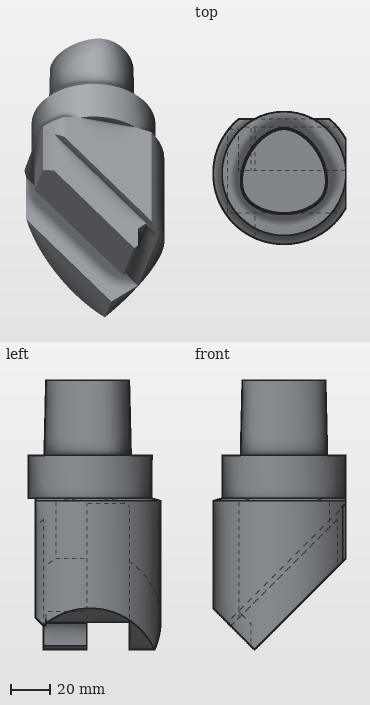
import cadquery as cq
import math

SHANK_HEIGHT = 38.2
SHANK_STRAIGHT = 2.9
SHANK_BASE_RADIUS = 22.0
SHANK_TOP_RADIUS = 21.2
SHANK_LOBE = 1.2
OUTLINE_POINTS = 36

COLLAR_RADIUS = 31.5
COLLAR_HEIGHT = 21.8
BODY_RADIUS = 36.0
SHOULDER_DROP = 1.4
SIDE_FLAT_X = COLLAR_RADIUS
BACK_FLAT_Y = 27.8

TIP_X = -15.0
TIP_Z = SHANK_HEIGHT - 137
SLOT_DEPTH = 19.7
SLOT_FRONT_Y = -20.0
SLOT_BACK_Y = 22.6
TOOTH_FRONT_Y = 1.6
TOOTH_BACK_Y = 23.7
STEP_DEPTH = 17.3
TOOTH_LAND = 2.7
TOOTH_REACH = 8.1
REACH = 137.0
CLEARANCE = 1.4


def prism_from_tip(outline, front_y, back_y):
    """Prism along Y; outline points are (along the long point face, inward square to it)."""
    plane = cq.Plane(origin=(TIP_X, front_y, TIP_Z), xDir=(1, 0, 1), normal=(0, -1, 0))
    return cq.Workplane(plane).polyline(outline).close().extrude(front_y - back_y)


def box_from_tip(along, inward, front_y, back_y):
    (start, end), (bottom, top) = along, inward
    corners = [(start, bottom), (end, bottom), (end, top), (start, top)]
    return prism_from_tip(corners, front_y, back_y)


def shank_outline(mean_radius):
    """Constant-width curve with one lobe on +Y, given by its distance-to-tangent function."""
    def point(turn):
        angle = 2 * math.pi * turn
        lobe_angle = 3 * (angle - math.pi / 2)
        tangent_distance = mean_radius + SHANK_LOBE * math.cos(lobe_angle)
        slope = -3 * SHANK_LOBE * math.sin(lobe_angle)
        return (
            tangent_distance * math.cos(angle) - slope * math.sin(angle),
            tangent_distance * math.sin(angle) + slope * math.cos(angle),
        )

    return [point(i / OUTLINE_POINTS) for i in range(OUTLINE_POINTS)]


def outline_wire(mean_radius, z):
    points = [cq.Vector(x, y, z) for x, y in shank_outline(mean_radius)]
    return cq.Wire.assembleEdges([cq.Edge.makeSpline(points, periodic=True)])


def make_shank():
    foot = outline_wire(SHANK_BASE_RADIUS, 0)
    taper_start = outline_wire(SHANK_BASE_RADIUS, SHANK_STRAIGHT)
    top = outline_wire(SHANK_TOP_RADIUS, SHANK_HEIGHT)
    straight = cq.Solid.makeLoft([foot, taper_start], True)
    taper = cq.Solid.makeLoft([taper_start, top], True)
    return cq.Workplane(straight).union(cq.Workplane(taper), clean=False)


def make_body():
    shoulder_z = -COLLAR_HEIGHT - SHOULDER_DROP
    profile = [
        (0, -COLLAR_HEIGHT),
        (COLLAR_RADIUS, -COLLAR_HEIGHT),
        (BODY_RADIUS, shoulder_z),
        (BODY_RADIUS, TIP_Z),
        (0, TIP_Z),
    ]
    body = cq.Workplane("XZ").polyline(profile).close().revolve(360, (0, 0, 0), (0, 1, 0))
    flats = cq.Workplane("XY").box(REACH, REACH, 2 * REACH).translate(
        (SIDE_FLAT_X - REACH / 2, BACK_FLAT_Y - REACH / 2, 0)
    )
    point = box_from_tip((0, REACH), (0, REACH), -REACH, REACH)
    return body.intersect(flats).intersect(point)


def cut_slot(body):
    """Slot along the long point face, with a shallower relief out to the back flat."""
    slot = box_from_tip((-CLEARANCE, REACH), (-CLEARANCE, SLOT_DEPTH), SLOT_FRONT_Y, SLOT_BACK_Y)
    relief = box_from_tip((-CLEARANCE, REACH), (-CLEARANCE, STEP_DEPTH), SLOT_BACK_Y, REACH)
    return body.cut(slot).cut(relief)


def make_tooth(body):
    """Cutting tooth with an upright face, carried by a holder block filling part of the slot."""
    tooth_outline = [
        (0, 0),
        (TOOTH_REACH, 0),
        (TOOTH_REACH, TOOTH_LAND + TOOTH_REACH),
        (0, TOOTH_LAND),
    ]
    tooth = prism_from_tip(tooth_outline, TOOTH_FRONT_Y, TOOTH_BACK_Y)
    holder = box_from_tip((TOOTH_REACH, REACH), (0, SLOT_DEPTH), TOOTH_FRONT_Y, TOOTH_BACK_Y)
    return tooth.union(holder).intersect(body)


solid_body = make_body()
collar = cq.Workplane("XY").circle(COLLAR_RADIUS).extrude(-COLLAR_HEIGHT)
result = cut_slot(solid_body).union(make_tooth(solid_body)).union(collar)
result = result.union(make_shank(), clean=False)